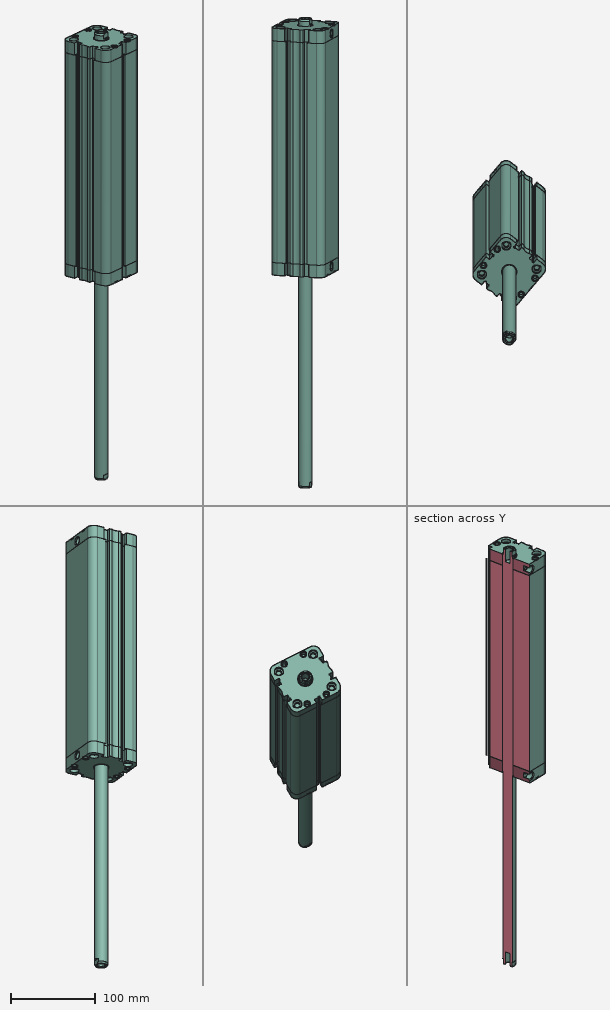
import cadquery as cq
import math

rod_length = 561.0
body_width = 65.5
corner_radius = 8.5
body_top = 272.5
body_bottom = -23.0
cap_height = 15.0
half_width = body_width / 2
tube_height = body_top - body_bottom - 2 * cap_height

rod_diameter = 16.0
rod_chamfer_radial = 1.0
rod_chamfer_length = 2.0
flat_width = 13.5
flat_length = 6.0
flat_runout_angle = 30
rod_hole_diameter = 8.5
rod_hole_mouth = 10.5
rod_hole_depth = 17.0

slot_opening = 5.0
slot_depth = 5.0
slot_inner = 8.0
slot_offset = slot_inner + slot_opening / 2
undercut_width = 2.0
undercut_depth = 6.0
lip_thickness = 1.5

groove_radius = 9.0
groove_width = 8.5

rod_recess_diameter = 18.0
rod_recess_depth = 1.0
screw_spacing = 46.0
screw_head_diameter = 10.5
screw_head_depth = 4.0
screw_hole_diameter = 7.0
screw_hole_depth = 8.5
side_hole_x = 28.5
side_hole_y = 13.0
side_hole_mouth = 8.0
side_hole_mouth_depth = 1.0
side_hole_diameter = 5.2
side_hole_depth = 8.5
port_mouth = 10.5
port_diameter = 8.5
port_depth = 8.5
port_height = 7.0
passage_diameter = 3.5
passage_shift = 1.5
passage_depth = 14.0


def chamfered_hole(diameter, mouth, depth):
    """Cutter for a blind hole down from Z = 0 whose mouth has a 45 degree countersink."""
    sink = (mouth - diameter) / 2
    profile = [(0, 0), (mouth / 2, 0), (diameter / 2, -sink), (diameter / 2, -depth), (0, -depth)]
    return cq.Workplane("XZ").polyline(profile).close().revolve(360, (0, 0, 0), (0, 1, 0))


def stepped_hole(diameter, depth, mouth, mouth_depth):
    """Cutter for a blind counterbored hole down from Z = 0."""
    hole = cq.Workplane("XY").circle(diameter / 2).extrude(-depth)
    return hole.union(cq.Workplane("XY").circle(mouth / 2).extrude(-mouth_depth))


def box_between(x0, x1, y0, y1, height):
    """Box from Z = 0 up to the height, between the given X and Y limits."""
    return cq.Workplane("XY").box(x1 - x0, y1 - y0, height, centered=False).translate((x0, y0, 0))


def slot_cutter(height, with_lip):
    """Slot centred on X = 0 of the +Y side, with a deeper strip along its +X wall.

    With a lip, the strip starts below the surface and only undercuts the slot wall.
    """
    wall = slot_opening / 2
    strip_top = half_width - lip_thickness if with_lip else half_width
    opening = box_between(-wall, wall, half_width - slot_depth, half_width, height)
    strip = box_between(wall, wall + undercut_width, half_width - undercut_depth, strip_top, height)
    return opening.union(strip)


def housing_profile(height, with_lip):
    """Slotted square bar with the rod bore; a lip narrows each slot to its opening."""
    bar = cq.Workplane("XY").rect(body_width, body_width).extrude(height)
    bar = bar.edges("|Z").fillet(corner_radius)

    slot = slot_cutter(height, with_lip)
    side_slot = slot.translate((slot_offset, 0, 0))
    groove_centre = half_width + math.sqrt(groove_radius**2 - (groove_width / 2) ** 2)
    groove = cq.Workplane("XY").center(0, groove_centre).circle(groove_radius).extrude(height)
    side_cut = side_slot.union(side_slot.mirror("YZ")).union(groove)
    back_slot = slot.mirror("YZ").rotate((0, 0, 0), (0, 0, 1), -90)
    bore = cq.Workplane("XY").circle(rod_diameter / 2).extrude(height)
    return bar.cut(side_cut).cut(side_cut.mirror("XZ")).cut(back_slot).cut(bore)


def make_cap():
    """End cap resting on Z = 0, with its outer face up and its air port toward -X."""
    cap = housing_profile(cap_height, with_lip=False)
    recess = cq.Workplane("XY").circle(rod_recess_diameter / 2).extrude(-rod_recess_depth)
    cap = cap.cut(recess.translate((0, 0, cap_height)))

    screw_hole = stepped_hole(screw_hole_diameter, screw_hole_depth, screw_head_diameter, screw_head_depth)
    side_hole = stepped_hole(side_hole_diameter, side_hole_depth, side_hole_mouth, side_hole_mouth_depth)
    for sx in (-1, 1):
        for sy in (-1, 1):
            cap = cap.cut(screw_hole.translate((sx * screw_spacing / 2, sy * screw_spacing / 2, cap_height)))
            cap = cap.cut(side_hole.translate((sx * side_hole_x, sy * side_hole_y, cap_height)))

    port = chamfered_hole(port_diameter, port_mouth, port_depth)
    passage = cq.Workplane("XY").circle(passage_diameter / 2).extrude(-passage_depth)
    port = port.union(passage.translate((-passage_shift, 0, 0)))
    port = port.rotate((0, 0, 0), (0, 1, 0), -90)
    return cap.cut(port.translate((-half_width, 0, port_height)))


def make_rod():
    """Round rod with a chamfer, two wrench flats and a countersunk hole at each end."""
    half_length = rod_length / 2
    radius = rod_diameter / 2
    tip_radius = radius - rod_chamfer_radial
    shoulder = half_length - rod_chamfer_length
    profile = [
        (0, -half_length),
        (tip_radius, -half_length),
        (radius, -shoulder),
        (radius, shoulder),
        (tip_radius, half_length),
        (0, half_length),
    ]
    rod = cq.Workplane("XZ").polyline(profile).close().revolve(360, (0, 0, 0), (0, 1, 0))

    flat_x = flat_width / 2
    flat_end = half_length - flat_length
    runout_rise = (rod_diameter - flat_x) * math.tan(math.radians(flat_runout_angle))
    flat_profile = [
        (flat_x, half_length),
        (flat_x, flat_end),
        (rod_diameter, flat_end - runout_rise),
        (rod_diameter, half_length),
    ]
    flat = cq.Workplane("XZ").polyline(flat_profile).close().extrude(rod_diameter, both=True)
    hole = chamfered_hole(rod_hole_diameter, rod_hole_mouth, rod_hole_depth)
    end_cut = flat.union(flat.mirror("YZ")).union(hole.translate((0, 0, half_length)))
    return rod.cut(end_cut).cut(end_cut.mirror("XY"))


tube_bottom = body_bottom + cap_height
tube_top = body_top - cap_height
tube = housing_profile(tube_height, with_lip=True).translate((0, 0, tube_bottom))
top_cap = make_cap().translate((0, 0, tube_top))
bottom_cap = make_cap().mirror("XY").translate((0, 0, tube_bottom))
rod = make_rod()

result = cq.Compound.makeCompound([tube.val(), top_cap.val(), bottom_cap.val(), rod.val()])